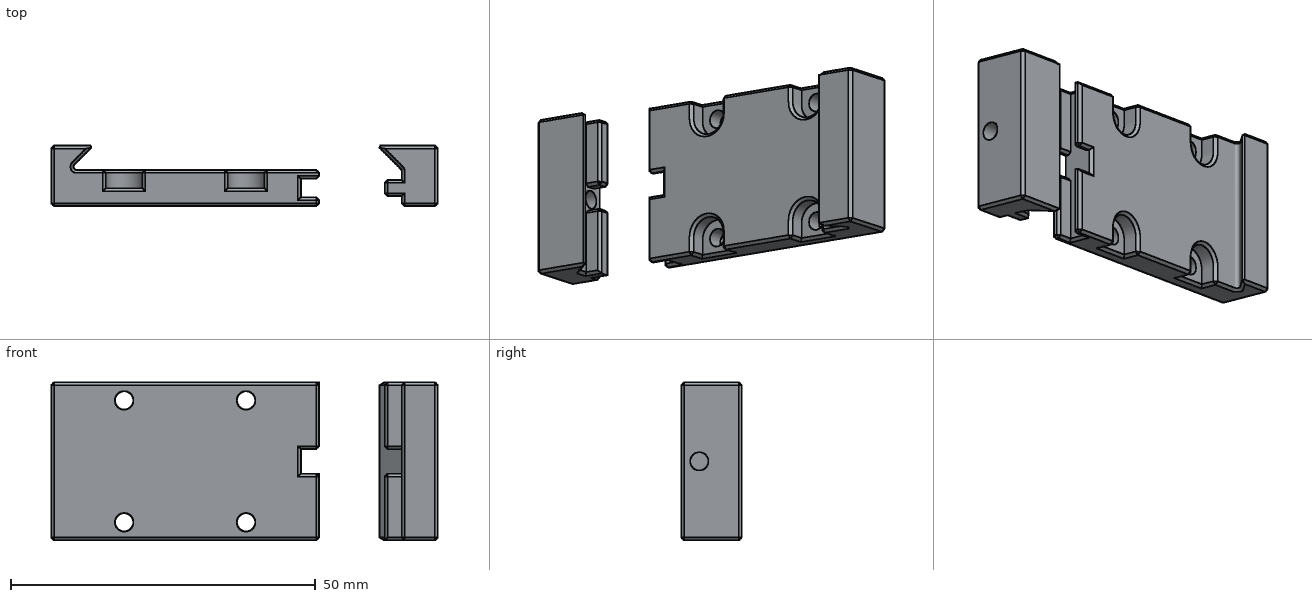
import cadquery as cq

TOTAL_LENGTH = 63.5
TOTAL_DEPTH = 10.0
HEIGHT = 26.0
CHAMFER = 0.5

PROBE_STEP = 0.03

PLATE_LENGTH = 44.0
PLATE_THICKNESS = 6.0
JAW_RISE = TOTAL_DEPTH - PLATE_THICKNESS
JAW_ROOT = 3.0
ROOT_RADIUS = 0.5
CLAMP_WIDTH = 6.0

GROOVE_SIZE = 3.0
TONGUE_WIDTH = 2.65
TONGUE_LENGTH = 2.8
SCREW_GAP = 4.0
CLAMP_HOLE_DIAMETER = 3.0

SCREW_DIAMETER = 3.0
SCREW_SPACING = 20.0
FIRST_SCREW_X = 12.0
POCKET_WIDTH = 6.0
POCKET_DEPTH = 3.0

JOINT_Y = PLATE_THICKNESS / 2
MID_Z = HEIGHT / 2
CLAMP_FACE_X = TOTAL_LENGTH - CLAMP_WIDTH


def box(x_min, x_max, y_min, y_max, z_min, z_max):
    """Axis-aligned block between the given limits."""
    size = (x_max - x_min, y_max - y_min, z_max - z_min)
    return cq.Workplane("XY").box(*size, centered=False).translate((x_min, y_min, z_min))


def is_convex(solid, edge):
    """True where the two faces beside the edge meet at an outside corner."""
    middle = edge.positionAt(0.5)
    normals = [face.normalAt(middle) for face in solid.Faces() if any(edge.isSame(e) for e in face.Edges())]
    first, second = normals
    if first.cross(second).Length < PROBE_STEP:
        return False
    beside_first = middle + (second - first) * PROBE_STEP
    beside_second = middle + (first - second) * PROBE_STEP
    return not solid.isInside(beside_first) and not solid.isInside(beside_second)


def break_edges(body, sharp_edge_points):
    """Chamfer every outside corner but the edges whose midpoints are listed."""
    solid = body.val()
    sharp_points = [cq.Vector(*point) for point in sharp_edge_points]
    edges = [
        edge for edge in solid.Edges()
        if is_convex(solid, edge)
        and all((edge.positionAt(0.5) - point).Length > PROBE_STEP for point in sharp_points)
    ]
    return cq.Workplane(solid.chamfer(CHAMFER, None, edges))


def round_jaw_root(body, root_x):
    """Fillet the inside corner where the sloped jaw begins."""
    root = cq.NearestToPointSelector((root_x, PLATE_THICKNESS, MID_Z))
    return body.edges(root).fillet(ROOT_RADIUS)


def head_pocket(x, side):
    """Screw head pocket in the back face, open downward for side -1 and upward for side 1."""
    z = MID_Z + side * SCREW_SPACING / 2
    end_z = MID_Z + side * HEIGHT / 2
    floor_y = PLATE_THICKNESS - POCKET_DEPTH
    round_end = (
        cq.Workplane("XZ", origin=(x, PLATE_THICKNESS, z)).circle(POCKET_WIDTH / 2).extrude(POCKET_DEPTH)
    )
    opening = box(
        x - POCKET_WIDTH / 2, x + POCKET_WIDTH / 2,
        floor_y, PLATE_THICKNESS,
        min(z, end_z), max(z, end_z),
    )
    return round_end.union(opening)


def screw_gap(x_min, x_max):
    """Space cleared around the clamp screw, through the full plate thickness."""
    return box(
        x_min, x_max,
        0, PLATE_THICKNESS,
        MID_Z - SCREW_GAP / 2, MID_Z + SCREW_GAP / 2,
    )


def make_plate():
    plate = (
        cq.Workplane("XY")
        .polyline([
            (0, 0),
            (PLATE_LENGTH, 0),
            (PLATE_LENGTH, PLATE_THICKNESS),
            (JAW_ROOT, PLATE_THICKNESS),
            (JAW_ROOT + JAW_RISE, TOTAL_DEPTH),
            (0, TOTAL_DEPTH),
        ])
        .close()
        .extrude(HEIGHT)
    )
    plate = round_jaw_root(plate, JAW_ROOT)

    groove_x = PLATE_LENGTH - GROOVE_SIZE
    groove_back_y = JOINT_Y + GROOVE_SIZE / 2
    groove = box(
        groove_x, PLATE_LENGTH,
        JOINT_Y - GROOVE_SIZE / 2, groove_back_y,
        0, HEIGHT,
    )
    plate = plate.cut(groove).cut(screw_gap(groove_x, PLATE_LENGTH))

    screw_places = [
        (x, side)
        for x in (FIRST_SCREW_X, FIRST_SCREW_X + SCREW_SPACING)
        for side in (-1, 1)
    ]
    for x, side in screw_places:
        plate = plate.cut(head_pocket(x, side))

    lip_y = (groove_back_y + PLATE_THICKNESS) / 2
    lip_ends = [(PLATE_LENGTH, lip_y, z) for z in (MID_Z - SCREW_GAP / 2, HEIGHT)]
    plate = break_edges(plate, lip_ends)

    for x, side in screw_places:
        z = MID_Z + side * SCREW_SPACING / 2
        hole = cq.Workplane("XZ", origin=(x, 0, z)).circle(SCREW_DIAMETER / 2).extrude(-PLATE_THICKNESS)
        plate = plate.cut(hole)
    return plate


def make_clamp():
    clamp = (
        cq.Workplane("XY")
        .polyline([
            (CLAMP_FACE_X, 0),
            (TOTAL_LENGTH, 0),
            (TOTAL_LENGTH, TOTAL_DEPTH),
            (CLAMP_FACE_X - JAW_RISE, TOTAL_DEPTH),
            (CLAMP_FACE_X, PLATE_THICKNESS),
        ])
        .close()
        .extrude(HEIGHT)
    )
    clamp = round_jaw_root(clamp, CLAMP_FACE_X)

    tongue_x = CLAMP_FACE_X - TONGUE_LENGTH
    tongue = box(
        tongue_x, CLAMP_FACE_X,
        JOINT_Y - TONGUE_WIDTH / 2, JOINT_Y + TONGUE_WIDTH / 2,
        0, HEIGHT,
    )
    clamp = clamp.union(tongue.cut(screw_gap(tongue_x, CLAMP_FACE_X)))

    tongue_end = (tongue_x, JOINT_Y, 0)
    clamp = break_edges(clamp, [tongue_end])

    hole = (
        cq.Workplane("YZ", origin=(CLAMP_FACE_X, JOINT_Y, MID_Z))
        .circle(CLAMP_HOLE_DIAMETER / 2)
        .extrude(CLAMP_WIDTH)
    )
    return clamp.cut(hole)


plate = make_plate()
clamp = make_clamp()
result = cq.Compound.makeCompound([plate.val(), clamp.val()])